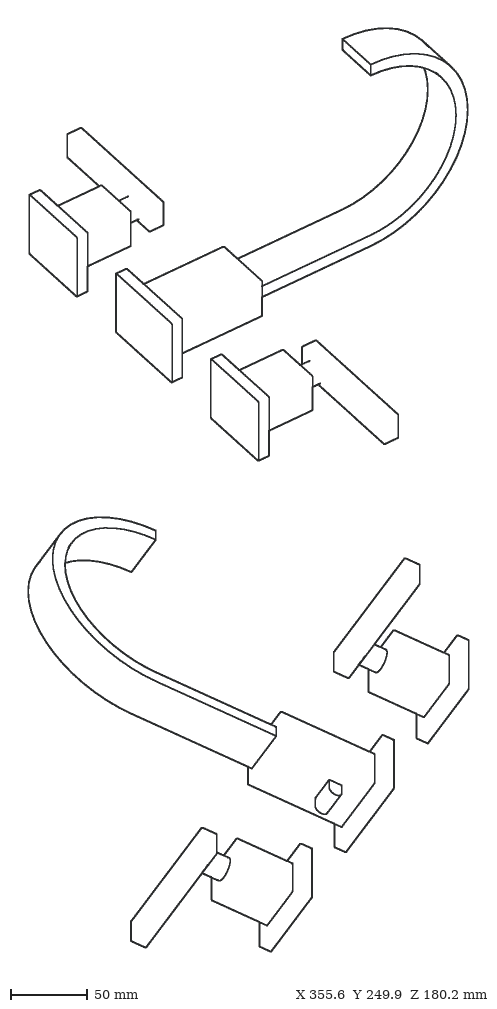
import cadquery as cq


TOTAL_WIDTH = 355.6
TOTAL_HEIGHT = 180.15

EDGE_ROUND = 1.0
PLATE_DEPTH = 8.9
PLATE_BOTTOM = -25.8

SPOUT_PLATE_WIDTH = 63.0
SPOUT_PLATE_HEIGHT = 51.1
SPOUT_PLATE_TOP = PLATE_BOTTOM + SPOUT_PLATE_HEIGHT
SPOUT_BODY_WIDTH = 43.6
SPOUT_BODY_HEIGHT = 30.7
SPOUT_BODY_END = 80.2
BAR_WIDTH = 31.75
BAR_THICKNESS = 9.525
SPOUT_REACH = 249.87
OUTER_RADIUS = 78.4
INNER_RADIUS = OUTER_RADIUS - BAR_THICKNESS
BEND_START = SPOUT_REACH - OUTER_RADIUS

KNOB_WIDTH = 18.2
KNOB_THICKNESS = BAR_THICKNESS
KNOB_Y = 31.35
KNOB_BOTTOM = 2 * OUTER_RADIUS - BAR_THICKNESS / 2 - TOTAL_HEIGHT

HANDLE_X = 101.6
HANDLE_PLATE_WIDTH = 53.8
HANDLE_PLATE_HEIGHT = 51.4
HANDLE_PLATE_TOP = PLATE_BOTTOM + HANDLE_PLATE_HEIGHT
HANDLE_BODY_WIDTH = 33.5
HANDLE_BODY_HEIGHT = 30.2
HANDLE_BODY_TOP = SPOUT_BODY_HEIGHT / 2
HANDLE_BODY_END = 51.2
STEM_DIAMETER = 16.5
LEVER_START = 65.7
LEVER_DEPTH = 11.9
LEVER_HEIGHT = 20.6
LEVER_TIP_X = TOTAL_WIDTH / 2
LEVER_LENGTH = 92.8
STEM_FILLET = 1.0
SELECT_MARGIN = 0.1


def block(x_range, y_range, z_range):
    """Box spanning the given (low, high) ranges along X, Y and Z."""
    size = [high - low for low, high in (x_range, y_range, z_range)]
    corner = (x_range[0], y_range[0], z_range[0])
    return cq.Workplane("XY").box(*size, centered=False).translate(corner)


def rounded_block(x_range, y_range, z_range):
    """Box with every edge rounded except those of its -Y face."""
    return block(x_range, y_range, z_range).edges("not <Y").fillet(EDGE_ROUND)


def about(centre, size):
    """Range of the given size around a centre."""
    return (centre - size / 2, centre + size / 2)


def gooseneck():
    """Flat bar running back from the body, then bending up and forward in a half circle."""
    low = -BAR_THICKNESS / 2
    bend_centre_z = low + OUTER_RADIUS
    top = low + 2 * OUTER_RADIUS
    return (
        cq.Workplane("YZ", origin=(-BAR_WIDTH / 2, 0, 0))
        .moveTo(PLATE_DEPTH, low)
        .lineTo(BEND_START, low)
        .threePointArc((SPOUT_REACH, bend_centre_z), (BEND_START, top))
        .lineTo(BEND_START, top - BAR_THICKNESS)
        .threePointArc((BEND_START + INNER_RADIUS, bend_centre_z), (BEND_START, low + BAR_THICKNESS))
        .lineTo(PLATE_DEPTH, low + BAR_THICKNESS)
        .close()
        .extrude(BAR_WIDTH)
    )


def knob():
    """Tab under the spout body with a fully rounded lower end."""
    radius = KNOB_THICKNESS / 2
    arc_z = KNOB_BOTTOM + radius
    return (
        cq.Workplane("YZ", origin=(-KNOB_WIDTH / 2, 0, 0))
        .moveTo(KNOB_Y - radius, 0)
        .lineTo(KNOB_Y - radius, arc_z)
        .threePointArc((KNOB_Y, KNOB_BOTTOM), (KNOB_Y + radius, arc_z))
        .lineTo(KNOB_Y + radius, 0)
        .close()
        .extrude(KNOB_WIDTH)
    )


def make_spout():
    """Base plate, body, gooseneck and knob as one solid."""
    plate = rounded_block(about(0, SPOUT_PLATE_WIDTH), (0, PLATE_DEPTH), (PLATE_BOTTOM, SPOUT_PLATE_TOP))
    body = rounded_block(about(0, SPOUT_BODY_WIDTH), (0, SPOUT_BODY_END), about(0, SPOUT_BODY_HEIGHT))
    return plate.union(body).union(gooseneck()).union(knob())


def make_handle(side):
    """Handle with its lever pointing outward; side is 1 for +X and -1 for its mirror image at -X."""
    plate = rounded_block(
        about(HANDLE_X, HANDLE_PLATE_WIDTH),
        (0, PLATE_DEPTH),
        (PLATE_BOTTOM, HANDLE_PLATE_TOP),
    )
    body = rounded_block(
        about(HANDLE_X, HANDLE_BODY_WIDTH),
        (0, HANDLE_BODY_END),
        (HANDLE_BODY_TOP - HANDLE_BODY_HEIGHT, HANDLE_BODY_TOP),
    )
    lever = block(
        (LEVER_TIP_X - LEVER_LENGTH, LEVER_TIP_X),
        (LEVER_START, LEVER_START + LEVER_DEPTH),
        about(0, LEVER_HEIGHT),
    ).edges().fillet(EDGE_ROUND)
    stem = (
        cq.Workplane("XZ", origin=(HANDLE_X, HANDLE_BODY_END - EDGE_ROUND, 0))
        .circle(STEM_DIAMETER / 2)
        .extrude(-(LEVER_START - HANDLE_BODY_END + EDGE_ROUND))
    )
    lever_and_stem = lever.union(stem)
    stem_root = cq.selectors.BoxSelector(
        (HANDLE_X - STEM_DIAMETER, LEVER_START - SELECT_MARGIN, -STEM_DIAMETER),
        (HANDLE_X + STEM_DIAMETER, LEVER_START + SELECT_MARGIN, STEM_DIAMETER),
    )
    lever_and_stem = lever_and_stem.edges("%CIRCLE").edges(stem_root).fillet(STEM_FILLET)
    handle = plate.union(body).union(lever_and_stem)
    return handle if side > 0 else handle.mirror("YZ")


spout = make_spout()
handles = [make_handle(side) for side in (1, -1)]

result = cq.Compound.makeCompound([spout.val(), *[handle.val() for handle in handles]])